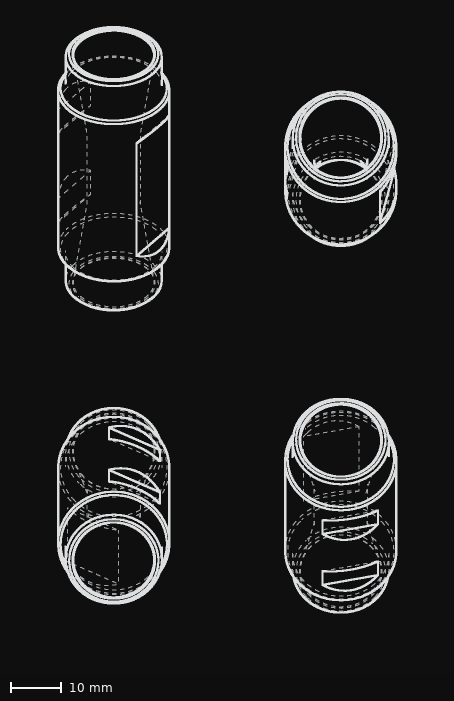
import cadquery as cq
import math

length = 57.0
body_radius = 22.0 / 2
neck_radius = 19.0 / 2
bore_radius = 10.5 / 2
neck_length = 8.5
end_chamfer = 0.7
shoulder_chamfer = 0.5
neck_fillet = 0.85

mouth_radius = 8.0
cone_half_angle = 8.0
lip_width = 0.15
lip_depth = 0.3
cone_depth = (mouth_radius - bore_radius) / math.tan(math.radians(cone_half_angle))

flat_offset = neck_radius
recess_depth = body_radius - flat_offset
recess_margin = 13.0
short_recess_length = 8.95
cutter_overhang = 0.55


def make_body():
    core = cq.Workplane("XY").circle(neck_radius).extrude(length)
    core = core.faces("<Z or >Z").chamfer(end_chamfer)
    sleeve = (
        cq.Workplane("XY")
        .workplane(offset=neck_length)
        .circle(body_radius)
        .extrude(length - 2 * neck_length)
        .faces("<Z or >Z")
        .chamfer(shoulder_chamfer)
    )
    return core.union(sleeve)


def make_neck_fillet():
    """Concave ring in the corner between the lower neck and its shoulder."""
    fillet_start = neck_length - neck_fillet
    arc_inset = neck_fillet * (1 - math.sqrt(0.5))
    return (
        cq.Workplane("XZ")
        .moveTo(neck_radius, fillet_start)
        .threePointArc(
            (neck_radius + arc_inset, neck_length - arc_inset),
            (neck_radius + neck_fillet, neck_length),
        )
        .lineTo(bore_radius + lip_width, neck_length)
        .lineTo(bore_radius + lip_width, fillet_start)
        .close()
        .revolve(360, (0, 0), (0, 1))
    )


def make_mouth():
    """Lower mouth: short steep lip, then a long cone down to the bore."""
    return (
        cq.Workplane("XZ")
        .polyline([
            (0, 0),
            (mouth_radius + lip_width, 0),
            (mouth_radius, lip_depth),
            (bore_radius, lip_depth + cone_depth),
            (0, lip_depth + cone_depth),
        ])
        .close()
        .revolve(360, (0, 0), (0, 1))
    )


def mirrored_to_top(lower):
    return lower.mirror("XY").translate((0, 0, length))


def make_recess(side, bottom, top):
    """Trapezoidal cut across Y on the +X (side=1) or -X (side=-1) face."""
    floor_x = side * flat_offset
    outer_x = side * (body_radius + cutter_overhang)
    return (
        cq.Workplane("XZ")
        .polyline([
            (floor_x, bottom + recess_depth),
            (floor_x, top - recess_depth),
            (outer_x, top + cutter_overhang),
            (outer_x, bottom - cutter_overhang),
        ])
        .close()
        .extrude(body_radius, both=True)
    )


result = make_body()

fillet_ring = make_neck_fillet()
result = result.union(fillet_ring).union(mirrored_to_top(fillet_ring))

lower_limit = recess_margin
upper_limit = length - recess_margin
result = result.cut(make_recess(-1, lower_limit, lower_limit + short_recess_length))
result = result.cut(make_recess(-1, upper_limit - short_recess_length, upper_limit))
result = result.cut(make_recess(1, lower_limit, upper_limit))

mouth = make_mouth()
bore = cq.Workplane("XY").circle(bore_radius).extrude(length)
result = result.cut(bore).cut(mouth).cut(mirrored_to_top(mouth))